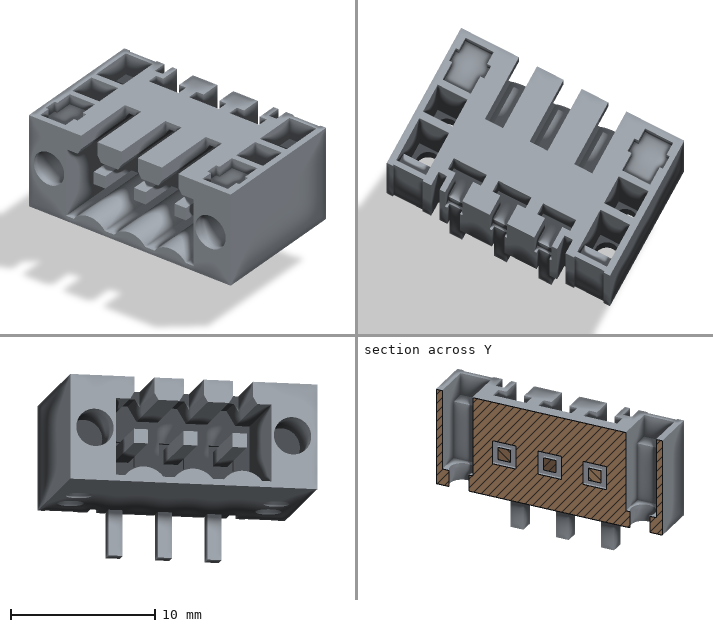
import cadquery as cq


LENGTH = 17.5
DEPTH = 11.05
HEIGHT = 7.42
PITCH = 3.5
PIN_COUNT = 3
PIN_POSITIONS = [(i - (PIN_COUNT - 1) / 2) * PITCH for i in range(PIN_COUNT)]

PIN_SIZE = 1.0
PIN_CENTER_Z = 3.48
PIN_TOP = PIN_CENTER_Z + PIN_SIZE / 2
PIN_TIP_Y = 1.17
PIN_REAR_GAP = 0.32
PIN_REAR_Y = DEPTH - PIN_REAR_GAP
LEG_LENGTH = 3.24

CAVITY_WIDTH = 11.02
CAVITY_DEPTH = 7.52
CAVITY_FLOOR = 0.42
CAVITY_ROOF = 5.85
KEY_TOP = 6.88
KEY_BASE_WIDTH = 2.01
KEY_TOP_WIDTH = 0.77
BUMP_WIDTH = 2.7
BUMP_HEIGHT = 0.66
PIN_RECESS_SIZE = 1.77
PIN_RECESS_DEPTH = 0.35

ROOF_SLOT_WIDTH = 1.42
ROOF_SLOT_LENGTH = 5.05

TEE_STEM_WIDTH = 1.36
TEE_BAR_WIDTH = 2.59
TEE_BAR_FRONT = 8.58
TEE_BAR_REAR = 9.45
TEE_DEPTH = 2.45
TEE_FLOOR_REAR = DEPTH - 0.49

FLANGE_CENTER = 1.75
POCKET_OUTER = 0.49
POCKET_INNER = 2.82
POCKET_WIDTH = POCKET_INNER - POCKET_OUTER
POCKET_CENTER_X = LENGTH / 2 - (POCKET_OUTER + POCKET_INNER) / 2
POCKET_FLOOR = 1.3
FRONT_POCKET_Y = (4.4, 6.58)
REAR_POCKET_Y = (7.12, 10.55)
LEDGE_FRONT_Y = 9.45
LEDGE_DEPTH = 1.7
POST_HOLE_DIAMETER = 1.82
POST_HOLE_Y = (5.48, 8.2)
SCREW_HOLE_DIAMETER = 2.65
SCREW_HOLE_DEPTH = 3.85
LATCH_OUTER = 0.61
LATCH_WIDTH = POCKET_INNER - LATCH_OUTER
LATCH_CENTER_X = LENGTH / 2 - (LATCH_OUTER + POCKET_INNER) / 2
LATCH_Y = (0.49, 3.9)
LATCH_WING_WIDTH = 2.76
LATCH_WING_Y = (1.47, 2.48)
LATCH_DEPTH = 0.8

REAR_GROOVE_DEPTH = 0.12
REAR_NOTCH_OUTER = 3.48
REAR_NOTCH_WIDTH = 0.66
REAR_NOTCH_DEPTH = 1.1
REAR_NOTCH_CENTER_X = LENGTH / 2 - REAR_NOTCH_OUTER - REAR_NOTCH_WIDTH / 2


def block(center_x, width, y_range, z_range):
    """Box centred on center_x, spanning the given Y and Z ranges."""
    y_min, y_max = y_range
    z_min, z_max = z_range
    return (
        cq.Workplane("XY")
        .box(width, y_max - y_min, z_max - z_min, centered=(True, False, False))
        .translate((center_x, y_min, z_min))
    )


def pin(x):
    """Horizontal contact bar with a leg going down through the housing base."""
    bar = block(x, PIN_SIZE, (PIN_TIP_Y, PIN_REAR_Y), (PIN_TOP - PIN_SIZE, PIN_TOP))
    leg = block(x, PIN_SIZE, (PIN_REAR_Y - PIN_SIZE, PIN_REAR_Y), (-LEG_LENGTH, PIN_TOP))
    return bar.union(leg)


def mating_cavity():
    """Front cavity with a tapered keyway in the roof and a round bump in the floor at each pin."""
    half_width = CAVITY_WIDTH / 2
    outline = cq.Workplane("XZ").moveTo(-half_width, CAVITY_FLOOR)
    for x in PIN_POSITIONS:
        outline = outline.lineTo(x - BUMP_WIDTH / 2, CAVITY_FLOOR).threePointArc(
            (x, CAVITY_FLOOR + BUMP_HEIGHT), (x + BUMP_WIDTH / 2, CAVITY_FLOOR)
        )
    outline = outline.lineTo(half_width, CAVITY_FLOOR).lineTo(half_width, CAVITY_ROOF)
    for x in reversed(PIN_POSITIONS):
        outline = (
            outline.lineTo(x + KEY_BASE_WIDTH / 2, CAVITY_ROOF)
            .lineTo(x + KEY_TOP_WIDTH / 2, KEY_TOP)
            .lineTo(x - KEY_TOP_WIDTH / 2, KEY_TOP)
            .lineTo(x - KEY_BASE_WIDTH / 2, CAVITY_ROOF)
        )
    return outline.lineTo(-half_width, CAVITY_ROOF).close().extrude(-CAVITY_DEPTH)


def pin_station_cuts(x):
    """Openings of one pin: roof slot, recess in the cavity wall, T pocket and pin channel."""
    roof_slot = block(x, ROOF_SLOT_WIDTH, (0, ROOF_SLOT_LENGTH), (CAVITY_ROOF, HEIGHT))
    recess = block(
        x,
        PIN_RECESS_SIZE,
        (CAVITY_DEPTH, CAVITY_DEPTH + PIN_RECESS_DEPTH),
        (PIN_CENTER_Z - PIN_RECESS_SIZE / 2, PIN_CENTER_Z + PIN_RECESS_SIZE / 2),
    )
    tee_z = (HEIGHT - TEE_DEPTH, HEIGHT)
    tee_bar = block(x, TEE_BAR_WIDTH, (TEE_BAR_FRONT, TEE_BAR_REAR), tee_z)
    tee_stem = block(x, TEE_STEM_WIDTH, (TEE_BAR_REAR, DEPTH), tee_z)
    stem_step = block(x, TEE_STEM_WIDTH, (TEE_FLOOR_REAR, DEPTH), (PIN_TOP, HEIGHT))
    bar_hole = block(x, PIN_SIZE, (CAVITY_DEPTH, DEPTH), (PIN_TOP - PIN_SIZE, PIN_TOP))
    leg_slot = block(x, PIN_SIZE, (PIN_REAR_Y - PIN_SIZE, DEPTH), (0, PIN_TOP))
    return [roof_slot, recess, tee_bar, tee_stem, stem_step, bar_hole, leg_slot]


def flange_cuts(side):
    """Openings of one flange; side is -1 for the left end and +1 for the right end."""
    pocket_x = side * POCKET_CENTER_X
    hole_x = side * (LENGTH / 2 - FLANGE_CENTER)
    pocket_z = (POCKET_FLOOR, HEIGHT)
    front_pocket = block(pocket_x, POCKET_WIDTH, FRONT_POCKET_Y, pocket_z)
    rear_pocket = block(pocket_x, POCKET_WIDTH, (REAR_POCKET_Y[0], LEDGE_FRONT_Y), pocket_z)
    above_ledge = block(
        pocket_x, POCKET_WIDTH, (LEDGE_FRONT_Y, REAR_POCKET_Y[1]), (HEIGHT - LEDGE_DEPTH, HEIGHT)
    )
    post_holes = (
        cq.Workplane("XY")
        .pushPoints([(hole_x, y) for y in POST_HOLE_Y])
        .circle(POST_HOLE_DIAMETER / 2)
        .extrude(POCKET_FLOOR)
    )
    screw_hole = (
        cq.Workplane("XZ")
        .center(hole_x, HEIGHT / 2)
        .circle(SCREW_HOLE_DIAMETER / 2)
        .extrude(-SCREW_HOLE_DEPTH)
    )
    latch_z = (HEIGHT - LATCH_DEPTH, HEIGHT)
    latch_body = block(side * LATCH_CENTER_X, LATCH_WIDTH, LATCH_Y, latch_z)
    latch_wings = block(hole_x, LATCH_WING_WIDTH, LATCH_WING_Y, latch_z)
    rear_groove = block(pocket_x, POCKET_WIDTH, (DEPTH - REAR_GROOVE_DEPTH, DEPTH), (0, HEIGHT))
    rear_notch = block(
        side * REAR_NOTCH_CENTER_X, REAR_NOTCH_WIDTH, (DEPTH - REAR_NOTCH_DEPTH, DEPTH), (0, HEIGHT)
    )
    return [
        front_pocket,
        rear_pocket,
        above_ledge,
        post_holes,
        screw_hole,
        latch_body,
        latch_wings,
        rear_groove,
        rear_notch,
    ]


def make_housing():
    """Block with the cavity, the openings of every pin and both flanges cut out."""
    cuts = [mating_cavity()]
    for x in PIN_POSITIONS:
        cuts += pin_station_cuts(x)
    for side in (-1, 1):
        cuts += flange_cuts(side)
    body = block(0, LENGTH, (0, DEPTH), (0, HEIGHT))
    for cut in cuts:
        body = body.cut(cut)
    return body


housing = make_housing()
pins = [pin(x) for x in PIN_POSITIONS]

result = cq.Compound.makeCompound([housing.val(), *[contact.val() for contact in pins]])